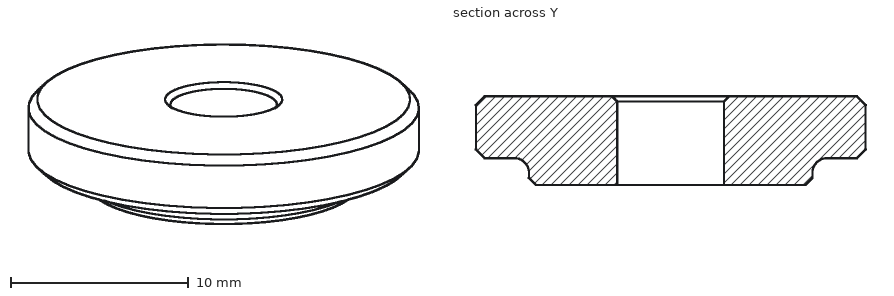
import cadquery as cq

flange_diameter = 22.0
flange_thickness = 3.5
flange_chamfer = 0.5

total_height = 5.0
boss_diameter = 16.0
boss_height = total_height - flange_thickness
boss_chamfer = 0.4
root_fillet = 0.8

bore_diameter = 6.0
bore_chamfer = 0.3

flange_radius = flange_diameter / 2
boss_radius = boss_diameter / 2
bore_radius = bore_diameter / 2


def washer_profile():
    """Half section in the XZ plane, from the axis outwards, bottom face at Z = 0."""
    return (
        cq.Workplane("XZ")
        .moveTo(0, 0)
        .lineTo(boss_radius - boss_chamfer, 0)
        .lineTo(boss_radius, boss_chamfer)
        .lineTo(boss_radius, boss_height - root_fillet)
        .radiusArc((boss_radius + root_fillet, boss_height), root_fillet)
        .lineTo(flange_radius - flange_chamfer, boss_height)
        .lineTo(flange_radius, boss_height + flange_chamfer)
        .lineTo(flange_radius, total_height - flange_chamfer)
        .lineTo(flange_radius - flange_chamfer, total_height)
        .lineTo(0, total_height)
        .close()
    )


def bore_cutter():
    """Through bore, widened by a chamfer at the top face."""
    return (
        cq.Workplane("XZ")
        .moveTo(0, 0)
        .lineTo(bore_radius, 0)
        .lineTo(bore_radius, total_height - bore_chamfer)
        .lineTo(bore_radius + bore_chamfer, total_height)
        .lineTo(0, total_height)
        .close()
        .revolve(360, (0, 0, 0), (0, 1, 0))
    )


body = washer_profile().revolve(360, (0, 0, 0), (0, 1, 0))
result = body.cut(bore_cutter())